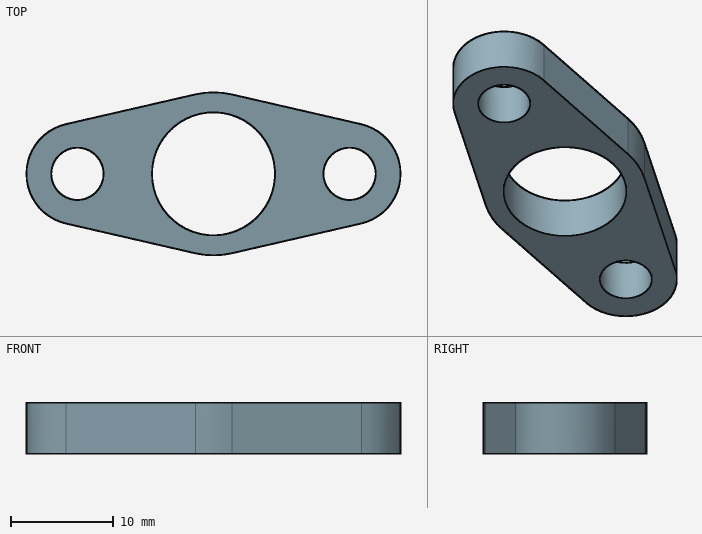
import cadquery as cq
import math

length = 36.6
width = 15.95
thickness = 5.0
bolt_spacing = 26.6
bolt_hole_diameter = 5.1
bore_diameter = 12.0

bolt_offset = bolt_spacing / 2
end_radius = length / 2 - bolt_offset
middle_radius = width / 2

normal_x = (middle_radius - end_radius) / bolt_offset
normal_y = math.sqrt(1 - normal_x**2)
middle_x = middle_radius * normal_x
middle_y = middle_radius * normal_y
end_x = bolt_offset + end_radius * normal_x
end_y = end_radius * normal_y

plate = (
    cq.Workplane("XY")
    .moveTo(-middle_x, middle_y)
    .threePointArc((0, middle_radius), (middle_x, middle_y))
    .lineTo(end_x, end_y)
    .threePointArc((length / 2, 0), (end_x, -end_y))
    .lineTo(middle_x, -middle_y)
    .threePointArc((0, -middle_radius), (-middle_x, -middle_y))
    .lineTo(-end_x, -end_y)
    .threePointArc((-length / 2, 0), (-end_x, end_y))
    .close()
    .extrude(thickness)
)

top_face = plate.faces(">Z").workplane(origin=(0, 0, thickness))
bored_plate = top_face.hole(bore_diameter)
bolt_positions = [(-bolt_offset, 0), (bolt_offset, 0)]
result = (
    bored_plate.faces(">Z")
    .workplane(origin=(0, 0, thickness))
    .pushPoints(bolt_positions)
    .hole(bolt_hole_diameter)
)